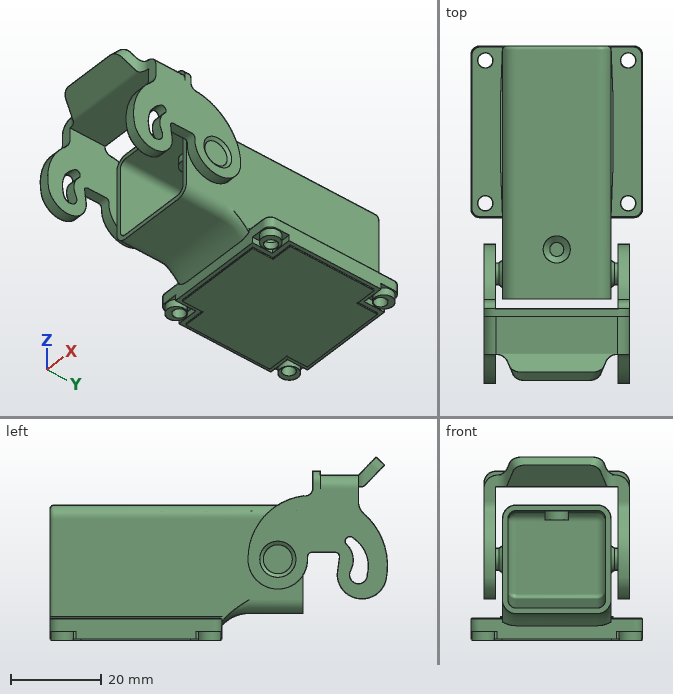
import cadquery as cq
import math


plate_size = 38.0
plate_top = 5.0
plate_underside = 0.4
plate_corner_radius = 2.0
plate_edge_chamfer = 0.25
hole_spacing = 31.6
hole_diameter = 3.3
foot_radius = 2.5
foot_spacing = 32.6
foot_height = 2.0
foot_pocket_size = 5.75
gasket_inset = 1.0
gasket_corner_size = 6.9

housing_width = 24.0
housing_top = 30.0
housing_corner_radius = 3.0
housing_back_radius = 0.9
nose_bottom = 6.0
nose_front = -37.0
nose_arc_start = -25.0
nose_arc_radius = 8.0
nose_root_overlap = 1.0
side_bulge = 0.55
side_bulge_top = 5.3

cavity_wall = 1.2
cavity_corner_radius = 1.9
cavity_back_wall = 2.0
cavity_floor_rise = 2.1
cavity_ceiling_drop = 0.6
cavity_floor_radius = 1.0

screw_y = -26.0
screw_diameter = 3.1
countersink_diameter = 6.0
screw_boss_diameter = 5.1
screw_boss_bottom = 26.7

pivot_y = -31.4
pivot_z = 18.0
pin_radius = 2.45
pin_root_radius = 3.05
pin_root_length = 0.8

lever_width = 32.2
lever_thickness = 2.6
lever_disc_radius = 6.6
lever_recess_radius = 4.0
lever_recess_floor_radius = 3.2
lever_recess_depth = 0.6
lever_shoulder_mid = (-28.5, 27.6)
lever_shoulder_end = (-37.1, 32.05)
neck_fillet_mid = (-38.55, 32.45)
neck_back_y = -39.1
neck_front_y = -49.25
neck_top = 33.5
neck_bottom = 30.6
neck_front_fillet_mid = (-49.55, 29.3)
notch_top = 19.5
notch_fillet = 0.9
notch_front_y = -45.15
hook_arc_radius = 15.3
hook_arc_centre = (-40.38, 16.56)
hook_tip_radius = 5.5
hook_start_angle = math.radians(131)
hook_tip_angle = math.radians(190.9)

slot_end_start = (-46.45, 21.45)
slot_end_mid = (-46.75, 22.8)
slot_outer_start = (-48.1, 22.65)
slot_outer_mid = (-50.95, 19.0)
slot_outer_end = (-51.15, 14.6)
slot_seat_mid = (-49.35, 12.6)
slot_seat_end = (-47.5, 15.4)
slot_inner_start = (-48.0, 16.8)
slot_inner_mid = (-47.95, 19.0)

bridge_top = 36.6
bridge_corner_radius = 3.0
lip_top = 37.5
lip_front_y = -40.8
lip_corner_radius = 2.7
tab_angle = math.radians(46)
tab_top = 40.64
tab_bend_inner_radius = 0.5
tab_bend_outer_radius = 1.2
tab_root_half_width = 13.4
tab_neck_half_width = 10.9
tab_neck_length = 1.6
tab_root_mid_half_width = 11.75
tab_root_mid_length = 0.5
tab_side_slope = 0.44
tab_plan_margin = 1.0
tab_corner_radius = 2.7

half_plate = plate_size / 2
half_housing = housing_width / 2
housing_span = (-half_housing, half_housing)
half_lever = lever_width / 2
lever_span = (-half_lever, half_lever)
lever_inner_x = half_lever - lever_thickness
lever_opening_span = (-lever_inner_x, lever_inner_x)
bridge_bottom = bridge_top - lever_thickness


def extrude_along_x(outline_yz, x_start, x_end):
    """Extrude a closed outline drawn in the YZ plane between two X positions."""
    return outline_yz.extrude(x_end - x_start).translate((x_start, 0, 0))


def box_between(x_range, y_range, z_range):
    """Box spanning the given (low, high) ranges."""
    sizes = [high - low for low, high in (x_range, y_range, z_range)]
    corner = (x_range[0], y_range[0], z_range[0])
    return cq.Workplane("XY").box(*sizes, centered=False).translate(corner)


def cylinder_along_x(radius, x_start, x_end):
    """Cylinder on the pivot axis."""
    circle = cq.Workplane("YZ").center(pivot_y, pivot_z).circle(radius)
    return extrude_along_x(circle, x_start, x_end)


def cone_along_x(radius_start, radius_end, x_start, x_end):
    """Truncated cone on the pivot axis."""
    base = cq.Workplane("YZ", origin=(x_start, pivot_y, pivot_z)).circle(radius_start)
    return base.workplane(offset=x_end - x_start).circle(radius_end).loft()


def square_pattern(spacing):
    """Workplane holding the four corner points of a centred square."""
    return cq.Workplane("XY").rect(spacing, spacing, forConstruction=True).vertices()


def make_plate():
    """Flanged plate with open corner pockets, round feet and a gasket below."""
    plate = cq.Workplane("XY", origin=(0, 0, plate_underside))
    plate = plate.rect(plate_size, plate_size).extrude(plate_top - plate_underside)
    plate = plate.edges("|Z").fillet(plate_corner_radius)
    plate = plate.faces(">Z").edges().chamfer(plate_edge_chamfer)
    pockets = square_pattern(plate_size).rect(2 * foot_pocket_size, 2 * foot_pocket_size)
    plate = plate.cut(pockets.extrude(foot_height))

    gasket_size = plate_size - 2 * gasket_inset
    gasket = cq.Workplane("XY").rect(gasket_size, gasket_size).extrude(plate_underside)
    corners = square_pattern(plate_size).rect(2 * gasket_corner_size, 2 * gasket_corner_size)
    gasket = gasket.cut(corners.extrude(plate_underside))

    feet = square_pattern(foot_spacing).circle(foot_radius).extrude(foot_height)
    return plate.union(gasket).union(feet)


def make_mounting_holes():
    """Cutters for the four holes through the plate and feet."""
    return square_pattern(hole_spacing).circle(hole_diameter / 2).extrude(plate_top)


def make_housing_body():
    """Rectangular hood over the plate with a round-edged nose overhanging to -Y."""
    block = box_between(housing_span, (-half_plate, half_plate), (plate_underside, housing_top))
    block = block.edges("|Y and >Z").fillet(housing_corner_radius)
    block = block.faces(">Y").edges("not <Z").fillet(housing_back_radius)
    nose = box_between(housing_span, (nose_front, -half_plate), (nose_bottom, housing_top))
    nose = nose.edges("|Y").fillet(housing_corner_radius)
    return block.union(nose).union(make_nose_blend())


def make_nose_blend():
    """Concave blend from the nose underside and its round edges into the plate."""
    edge_axis_x = half_housing - housing_corner_radius
    edge_axis_z = nose_bottom + housing_corner_radius
    root_y = -half_plate + nose_root_overlap
    arc_centre_z = nose_bottom - nose_arc_radius
    full_angle = math.asin((root_y - nose_arc_start) / nose_arc_radius)

    def arc_point(angle):
        return (
            nose_arc_start + nose_arc_radius * math.sin(angle),
            arc_centre_z + nose_arc_radius * math.cos(angle),
        )

    def profile(x_position):
        return (
            cq.Workplane("YZ", origin=(x_position, 0, 0))
            .moveTo(nose_arc_start, edge_axis_z)
            .lineTo(nose_arc_start, nose_bottom)
            .threePointArc(arc_point(full_angle / 2), arc_point(full_angle))
            .lineTo(root_y, edge_axis_z)
            .close()
        )

    blend = profile(-edge_axis_x).extrude(2 * edge_axis_x)
    for axis_x in (-edge_axis_x, edge_axis_x):
        blend = blend.union(profile(axis_x).revolve(360, (0, edge_axis_z), (1, edge_axis_z)))
    housing_limits = box_between(housing_span, (nose_front, half_plate), (plate_underside, housing_top))
    return blend.intersect(housing_limits)


def make_side_bulges():
    """Shallow bowed ledges where the housing sides meet the plate."""
    bulge_reach = half_housing + side_bulge
    return (
        cq.Workplane("XY", origin=(0, 0, plate_underside))
        .moveTo(-half_housing, -half_plate)
        .threePointArc((-bulge_reach, 0), (-half_housing, half_plate))
        .lineTo(half_housing, half_plate)
        .threePointArc((bulge_reach, 0), (half_housing, -half_plate))
        .close()
        .extrude(side_bulge_top - plate_underside)
    )


def make_cavity():
    """Blind cavity, open at the nose, with a rising floor and a dropping ceiling."""
    back_y = half_plate - cavity_back_wall
    floor_z = nose_bottom + cavity_wall
    ceiling_z = housing_top - cavity_wall
    half_width = half_housing - cavity_wall
    outline = cq.Workplane("YZ").polyline(
        [
            (nose_front, floor_z),
            (nose_front, ceiling_z),
            (back_y, ceiling_z - cavity_ceiling_drop),
            (back_y, floor_z + cavity_floor_rise),
        ]
    ).close()
    cavity = extrude_along_x(outline, -half_width, half_width)
    back_floor = cq.selectors.NearestToPointSelector((0, back_y, floor_z + cavity_floor_rise))
    back_roof = cq.selectors.NearestToPointSelector((0, back_y, ceiling_z - cavity_ceiling_drop))
    back_sides = cq.StringSyntaxSelector("|Z and >Y")
    long_edges = cq.StringSyntaxSelector("not(|X or |Z)")
    cavity = cavity.edges(long_edges + back_sides + back_roof).fillet(cavity_corner_radius)
    return cavity.edges(back_floor).fillet(cavity_floor_radius)


def make_screw_boss():
    """Round boss hanging from the roof around the screw hole."""
    boss = cq.Workplane("XY", origin=(0, screw_y, screw_boss_bottom))
    boss_height = housing_top - cavity_wall / 2 - screw_boss_bottom
    return boss.circle(screw_boss_diameter / 2).extrude(boss_height)


def make_screw_hole():
    """Through hole in the roof with a 90 degree countersink."""
    sink_depth = (countersink_diameter - screw_diameter) / 2
    shank = cq.Workplane("XY", origin=(0, screw_y, screw_boss_bottom))
    shank = shank.circle(screw_diameter / 2).extrude(housing_top - screw_boss_bottom)
    sink = cq.Workplane("XY", origin=(0, screw_y, housing_top)).circle(countersink_diameter / 2)
    sink = sink.workplane(offset=-sink_depth).circle(screw_diameter / 2).loft()
    return shank.union(sink)


def make_pin():
    """Pivot pin on the +X side, flared where it leaves the housing."""
    root_end = half_housing + pin_root_length
    root = cone_along_x(pin_root_radius, pin_radius, half_housing, root_end)
    embedded_x = half_housing - cavity_wall / 2
    return root.union(cylinder_along_x(pin_radius, embedded_x, half_lever - lever_recess_depth))


def hook_arc_point(radius, angle):
    """Point (Y, Z) at a polar position about the centre of the hook's outer arc."""
    centre_y, centre_z = hook_arc_centre
    return (centre_y + radius * math.cos(angle), centre_z + radius * math.sin(angle))


def make_lever_side():
    """Lever cheek on the +X side: pivot disc, neck and hook."""
    tip_y, tip_z = hook_arc_point(hook_arc_radius - hook_tip_radius, hook_tip_angle)
    hook_start = hook_arc_point(hook_arc_radius, hook_start_angle)
    hook_mid = hook_arc_point(hook_arc_radius, (hook_start_angle + hook_tip_angle) / 2)
    tip_start = hook_arc_point(hook_arc_radius, hook_tip_angle)
    disc_front = pivot_y - lever_disc_radius
    outline = (
        cq.Workplane("YZ")
        .moveTo(disc_front, pivot_z)
        .threePointArc((pivot_y, pivot_z - lever_disc_radius), (pivot_y + lever_disc_radius, pivot_z))
        .threePointArc(lever_shoulder_mid, lever_shoulder_end)
        .threePointArc(neck_fillet_mid, (neck_back_y, neck_top))
        .lineTo(neck_front_y, neck_top)
        .lineTo(neck_front_y, neck_bottom)
        .threePointArc(neck_front_fillet_mid, hook_start)
        .threePointArc(hook_mid, tip_start)
        .threePointArc((tip_y, tip_z - hook_tip_radius), (tip_y + hook_tip_radius, tip_z))
        .lineTo(notch_front_y, notch_top)
        .lineTo(disc_front, notch_top)
        .close()
    )
    side = extrude_along_x(outline, lever_inner_x, half_lever)
    cheek_middle_x = half_lever - lever_thickness / 2
    for corner_y in (disc_front, notch_front_y):
        corner = cq.selectors.NearestToPointSelector((cheek_middle_x, corner_y, notch_top))
        side = side.edges(corner).fillet(notch_fillet)
    recess = cone_along_x(
        lever_recess_floor_radius, lever_recess_radius, half_lever - lever_recess_depth, half_lever
    )
    return side.cut(make_cam_slot()).cut(recess)


def make_cam_slot():
    """Curved slot through the hook, wider at its lower seat."""
    outline = (
        cq.Workplane("YZ")
        .moveTo(*slot_end_start)
        .threePointArc(slot_end_mid, slot_outer_start)
        .threePointArc(slot_outer_mid, slot_outer_end)
        .threePointArc(slot_seat_mid, slot_seat_end)
        .lineTo(*slot_inner_start)
        .threePointArc(slot_inner_mid, slot_end_start)
        .close()
    )
    return extrude_along_x(outline, lever_inner_x, half_lever)


def make_arch(back_y, front_y, top_z, corner_radius):
    """Strip across both cheeks with rounded outer corners."""
    strip = box_between(lever_span, (front_y, back_y), (neck_top, top_z))
    strip = strip.edges("|Y and >Z").fillet(corner_radius)
    opening = box_between(lever_opening_span, (front_y, back_y), (neck_top, bridge_bottom))
    return strip.cut(opening)


def make_tab():
    """Thumb tab: the bridge sheet bent upwards and tapered towards its tip."""
    along_y = math.cos(tab_angle)
    along_z = math.sin(tab_angle)
    rise = tab_top - bridge_top
    tip_y = neck_front_y - rise / math.tan(tab_angle)
    under_tip = (tip_y - lever_thickness * along_z, tab_top - lever_thickness * along_y)
    under_bend_y = under_tip[0] + (under_tip[1] - bridge_bottom) / math.tan(tab_angle)
    sheet = cq.Workplane("YZ").polyline(
        [
            (lip_front_y, bridge_bottom),
            (lip_front_y, bridge_top),
            (neck_front_y, bridge_top),
            (tip_y, tab_top),
            under_tip,
            (under_bend_y, bridge_bottom),
        ]
    ).close()
    sheet = extrude_along_x(sheet, -lever_inner_x, lever_inner_x)
    inner_bend = cq.selectors.NearestToPointSelector((0, neck_front_y, bridge_top))
    sheet = sheet.edges(inner_bend).fillet(tab_bend_inner_radius)
    outer_bend = cq.selectors.NearestToPointSelector((0, under_bend_y, bridge_bottom))
    sheet = sheet.edges(outer_bend).fillet(tab_bend_outer_radius)
    neck_y = neck_front_y - tab_neck_length
    end_y = under_tip[0] - tab_plan_margin
    end_half_width = tab_neck_half_width - tab_side_slope * (neck_y - end_y)
    root_mid_y = neck_front_y - tab_root_mid_length
    plan = (
        cq.Workplane("XY")
        .moveTo(-tab_root_half_width, lip_front_y)
        .lineTo(tab_root_half_width, lip_front_y)
        .lineTo(tab_root_half_width, neck_front_y)
        .threePointArc((tab_root_mid_half_width, root_mid_y), (tab_neck_half_width, neck_y))
        .lineTo(end_half_width, end_y)
        .lineTo(-end_half_width, end_y)
        .lineTo(-tab_neck_half_width, neck_y)
        .threePointArc((-tab_root_mid_half_width, root_mid_y), (-tab_root_half_width, neck_front_y))
        .close()
        .extrude(tab_top)
    )
    tab = sheet.intersect(plan)
    tip_middle = ((tip_y + under_tip[0]) / 2, (tab_top + under_tip[1]) / 2)
    tip_face = tab.faces(cq.selectors.NearestToPointSelector((0, *tip_middle)))
    return tip_face.edges("not |X").fillet(tab_corner_radius)


def make_lever():
    """U-shaped lever: two cheeks joined by a bridge with a raised lip and a thumb tab."""
    side = make_lever_side()
    lip = make_arch(neck_back_y, lip_front_y, lip_top, lip_corner_radius)
    bridge = make_arch(lip_front_y, neck_front_y, bridge_top, bridge_corner_radius)
    lever = side.union(side.mirror("YZ"))
    return lever.union(lip).union(bridge).union(make_tab())


pin = make_pin()
result = make_plate().union(make_housing_body()).union(make_side_bulges())
result = result.cut(make_cavity()).union(make_screw_boss()).cut(make_screw_hole())
result = result.cut(make_mounting_holes())
result = result.union(pin).union(pin.mirror("YZ")).union(make_lever())